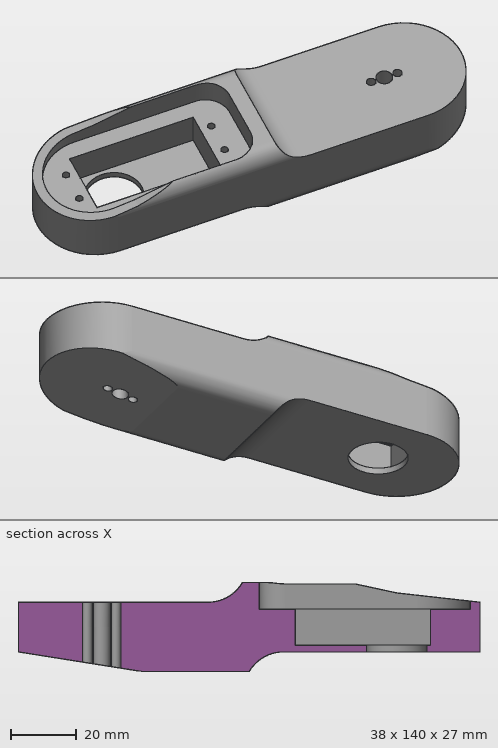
import cadquery as cq
import math

LENGTH = 140.0
WIDTH = 38.0
HEIGHT = 27.0
END_RADIUS = WIDTH / 2
END_CENTER = LENGTH / 2 - END_RADIUS
EDGE_RADIUS = 5.0

PAD_HEIGHT = 7.5
STEP_RUN = 10.4
UPPER_STEP_CREST = 2.1
LOWER_STEP_CREST = 0.0
UPPER_SLOPE_START = -30.2
UPPER_SLOPE_BREAK = -44.8
UPPER_SLOPE_BREAK_HEIGHT = 10.4
LOWER_SLOPE_START = 32.5

POCKET_WALL = 3.1
POCKET_START = -3.1
POCKET_CORNER = 8.0
POCKET_FLOOR = 5.5
WELL_WIDTH = 20.9
WELL_START = -14.0
WELL_END = -54.9
WELL_FLOOR = -5.5
SHAFT_Y = 44.7
SHAFT_BORE = 18.2
SCREW_DIAMETER = 2.2
SCREW_DEPTH = 5.0
SCREW_X = 5.0
SCREW_ROWS = (-10.4, -58.4)

HORN_BORE = 5.0
HORN_SCREW = 2.8
HORN_SCREW_OFFSET = 4.3


def step_midpoint():
    """Halfway point of a step arc: Y offset from the crest and height above the mid plane.

    The arc leaves the flat half tangentially.
    """
    rise = HEIGHT / 2 - PAD_HEIGHT
    radius = (STEP_RUN**2 + rise**2) / (2 * rise)
    half_angle = math.asin(STEP_RUN / radius) / 2
    offset = STEP_RUN - radius * math.sin(half_angle)
    height = PAD_HEIGHT + radius * (1 - math.cos(half_angle))
    return offset, height


def make_body():
    top = HEIGHT / 2
    end = LENGTH / 2
    mid_offset, mid_height = step_midpoint()
    profile = (
        cq.Workplane("YZ")
        .moveTo(end, PAD_HEIGHT)
        .lineTo(UPPER_STEP_CREST + STEP_RUN, PAD_HEIGHT)
        .threePointArc((UPPER_STEP_CREST + mid_offset, mid_height), (UPPER_STEP_CREST, top))
        .lineTo(UPPER_SLOPE_START, top)
        .lineTo(UPPER_SLOPE_BREAK, UPPER_SLOPE_BREAK_HEIGHT)
        .lineTo(-end, PAD_HEIGHT)
        .lineTo(-end, -PAD_HEIGHT)
        .lineTo(LOWER_STEP_CREST - STEP_RUN, -PAD_HEIGHT)
        .threePointArc((LOWER_STEP_CREST - mid_offset, -mid_height), (LOWER_STEP_CREST, -top))
        .lineTo(LOWER_SLOPE_START, -top)
        .lineTo(end, -PAD_HEIGHT)
        .close()
        .extrude(END_RADIUS, both=True)
    )
    plan = cq.Workplane("XY").slot2D(LENGTH, WIDTH, 90).extrude(HEIGHT / 2, both=True)
    rounded_bar = cq.Workplane("XY").box(WIDTH, LENGTH, HEIGHT).edges("|Y").fillet(EDGE_RADIUS)
    return profile.intersect(plan).intersect(rounded_bar)


def make_pocket():
    """Recess with two rounded corners and a round end concentric with the body."""
    half_width = END_RADIUS - POCKET_WALL
    return (
        cq.Workplane("XY", origin=(0, 0, POCKET_FLOOR))
        .moveTo(-half_width, POCKET_START)
        .lineTo(half_width, POCKET_START)
        .lineTo(half_width, -END_CENTER)
        .threePointArc((0, -END_CENTER - half_width), (-half_width, -END_CENTER))
        .close()
        .extrude(HEIGHT)
        .edges("|Z and >Y")
        .fillet(POCKET_CORNER)
    )


def make_well():
    return (
        cq.Workplane("XY", origin=(0, (WELL_START + WELL_END) / 2, WELL_FLOOR))
        .rect(WELL_WIDTH, WELL_START - WELL_END)
        .extrude(HEIGHT)
    )


def make_through_hole(y, diameter):
    return cq.Workplane("XY").center(0, y).circle(diameter / 2).extrude(HEIGHT, both=True)


def make_screw_holes():
    points = [(side * SCREW_X, y) for y in SCREW_ROWS for side in (-1, 1)]
    return (
        cq.Workplane("XY", origin=(0, 0, POCKET_FLOOR))
        .pushPoints(points)
        .circle(SCREW_DIAMETER / 2)
        .extrude(-SCREW_DEPTH)
    )


result = make_body().cut(make_pocket()).cut(make_well()).cut(make_screw_holes())
result = result.cut(make_through_hole(-SHAFT_Y, SHAFT_BORE))
result = result.cut(make_through_hole(SHAFT_Y, HORN_BORE))
for side in (-1, 1):
    result = result.cut(make_through_hole(SHAFT_Y + side * HORN_SCREW_OFFSET, HORN_SCREW))